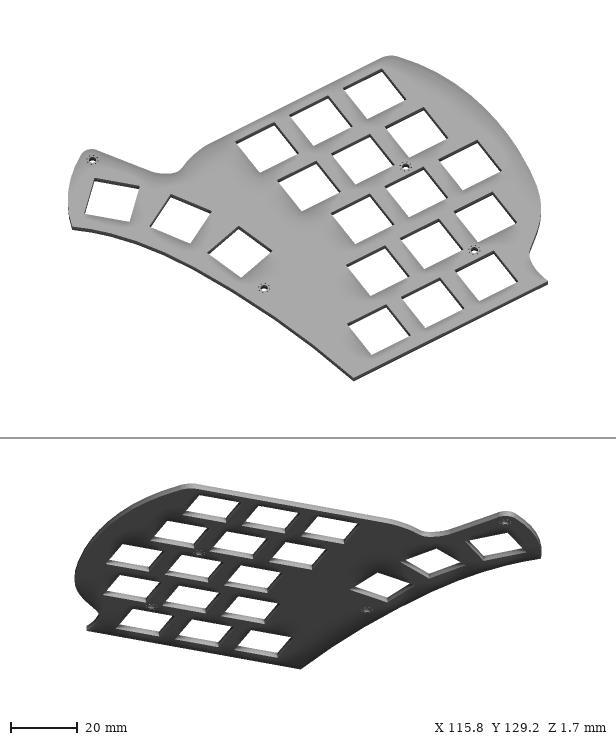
import cadquery as cq

plate_width = 115.8
plate_height = 129.2
plate_thickness = 1.7

switch_side = 14.0
rows_per_column = 3
first_column_x = 28.0
last_column_x = 104.3
column_middle_y = [84.5, 87.4, 94.3, 87.8, 76.1]
switch_pitch = (last_column_x - first_column_x) / (len(column_middle_y) - 1)
thumb_switches = [(20.0, 15.5, 45), (37.1, 29.1, 30), (57.1, 37.5, 15)]

screw_centers = [(4.1, 18.6), (56.3, 96.8), (72.6, 36.3), (94.1, 97.3)]
screw_diameter = 2.2
pinhole_diameter = 0.4
pinhole_circle_radius = 1.7
pinhole_count = 8

left_edge_x = 17.6
left_edge_bottom = (left_edge_x, 51.2)
left_edge_top = (left_edge_x, 112.7)
shoulder = (20.2, 117.2)
right_edge_top = (plate_width, 109.9)
right_edge_bottom = (plate_width, 40.8)
thumb_corner = (22.2, 0)
tip_lower = (0.8, 16.5)
tip_upper = (2.3, 22.1)
waist_lower = (17.3, 31.3)

shoulder_middle = (18.4, 115.3)
crown_points = [(37.4, 126.0), (59.5, plate_height), (77.5, 127.5), (90.5, 123.3), (99.8, 115.0)]
dip_points = [(104.2, 110.5), (109.6, 109.1)]
palm_points = [(85.7, 33.9), (63.8, 26.5), (45.2, 18.2), (32.3, 9.8)]
thumb_end_middle = (9.7, 6.6)
tip_middle = (0, 18.6)
waist_points = [(20.2, 34.2), (21.5, 38.1), (20.0, 41.6), (18.2, 46.9)]


def make_plate():
    outline = (
        cq.Workplane("XY")
        .moveTo(*left_edge_bottom)
        .lineTo(*left_edge_top)
        .threePointArc(shoulder_middle, shoulder)
        .spline(crown_points + dip_points + [right_edge_top], includeCurrent=True)
        .lineTo(*right_edge_bottom)
        .spline(palm_points + [thumb_corner], includeCurrent=True)
        .threePointArc(thumb_end_middle, tip_lower)
        .threePointArc(tip_middle, tip_upper)
        .lineTo(*waist_lower)
        .spline(waist_points + [left_edge_bottom], includeCurrent=True)
        .close()
    )
    return outline.extrude(plate_thickness)


def switch_cutout(x, y, tilt=0):
    block = cq.Workplane("XY").rect(switch_side, switch_side).extrude(plate_thickness)
    return block.rotate((0, 0, 0), (0, 0, 1), tilt).translate((x, y, 0))


def screw_hole(x, y):
    bore = cq.Workplane("XY").circle(screw_diameter / 2).extrude(plate_thickness)
    pinholes = (
        cq.Workplane("XY")
        .polarArray(pinhole_circle_radius, 0, 360, pinhole_count)
        .circle(pinhole_diameter / 2)
        .extrude(plate_thickness)
    )
    return bore.add(pinholes).combine().translate((x, y, 0))


result = make_plate()

for column, middle_y in enumerate(column_middle_y):
    column_x = first_column_x + column * switch_pitch
    for row in range(rows_per_column):
        row_offset = (row - (rows_per_column - 1) / 2) * switch_pitch
        result = result.cut(switch_cutout(column_x, middle_y + row_offset))

for x, y, tilt in thumb_switches:
    result = result.cut(switch_cutout(x, y, tilt))

for x, y in screw_centers:
    result = result.cut(screw_hole(x, y))